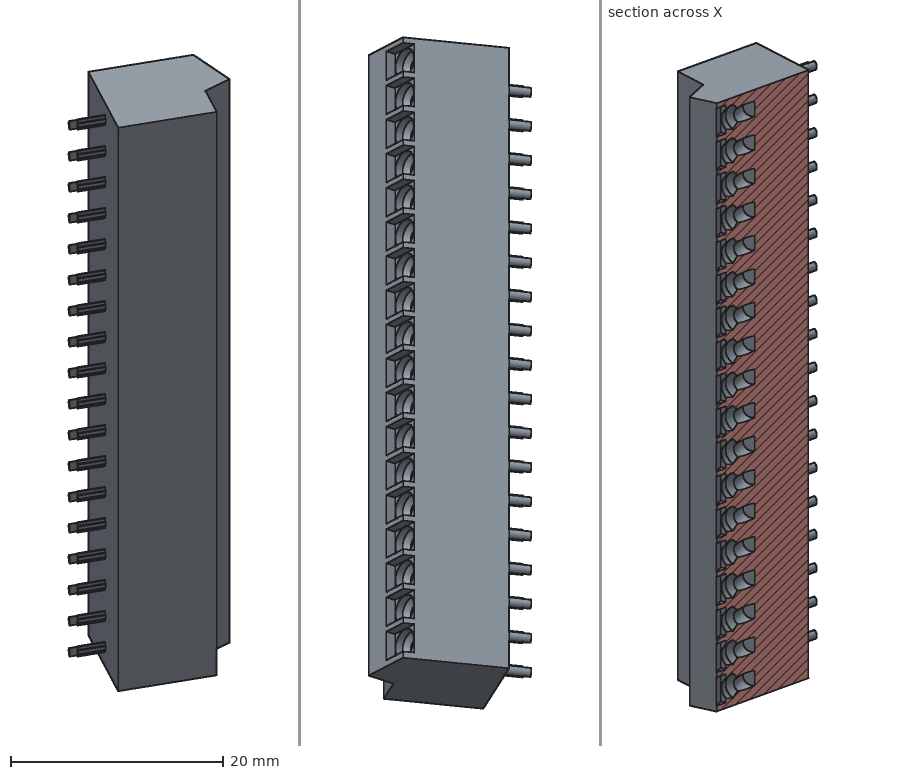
import cadquery as cq
import math

pole_count = 18
pitch = 3.5

housing_height = 63.6
housing_width = 10.0
side_height = 10.3
peak_x, peak_y = 4.95, 12.4
notch_x, notch_y = 6.25, 9.65

overall_y = 15.9
pin_length = overall_y - peak_y
first_pin_below_top = 1.85
pin_flat_x = 5.65
pin_half_height = 0.48
pin_bulge = 0.4
plate_height = 1.15
plate_thickness = 0.05
rib_height = 0.4
rib_thickness = 0.16
backing_length = 2.75

entry_below_pin = 0.2
pocket_height = 2.9
pocket_depth = 1.0
pocket_peak_margin = 2.8
hole_diameter = 2.85
hole_depth = 0.8
hole_edge_margin = 0.05
funnel_diameter = 1.65
funnel_depth = 0.5
bore_depth = 1.9

slope_length = math.hypot(peak_x, peak_y - side_height)
slope_x = peak_x / slope_length
slope_y = (peak_y - side_height) / slope_length
pocket_length = slope_length - pocket_peak_margin
pocket_run_out = pocket_depth
hole_from_peak = pocket_peak_margin + hole_edge_margin + hole_diameter / 2


def make_housing():
    outline = [
        (0, 0),
        (housing_width, 0),
        (housing_width, notch_y),
        (notch_x, notch_y),
        (peak_x, peak_y),
        (0, side_height),
    ]
    return cq.Workplane("XY").polyline(outline).close().extrude(housing_height)


def make_pin(z):
    """Rounded pin growing out of the Y = 0 face, backed by a shorter plate and rib."""
    base_plane = cq.Plane(origin=(pin_flat_x, 0, z), xDir=(1, 0, 0), normal=(0, -1, 0))

    def backing(thickness, height):
        return (
            cq.Workplane(base_plane)
            .moveTo(0, -height / 2)
            .rect(thickness, height, centered=False)
            .extrude(backing_length)
        )

    rounded_bar = (
        cq.Workplane(base_plane)
        .moveTo(0, pin_half_height)
        .threePointArc((-pin_bulge, 0), (0, -pin_half_height))
        .close()
        .extrude(pin_length)
    )
    plate = backing(plate_thickness, plate_height)
    rib = backing(plate_thickness + rib_thickness, rib_height)
    return rounded_bar.union(plate).union(rib)


def make_entry_cut(z):
    """Pocket open to the -X side, with a hole that funnels into a narrower bore.

    Distances run down the slope from the peak, and depths run square to it into the housing.
    """
    slope_plane = cq.Plane(
        origin=(peak_x, peak_y, z),
        xDir=(-slope_x, -slope_y, 0),
        normal=(slope_y, -slope_x, 0),
    )
    pocket = (
        cq.Workplane(slope_plane)
        .moveTo(pocket_peak_margin, -pocket_height / 2)
        .rect(pocket_length + pocket_run_out, pocket_height, centered=False)
        .extrude(pocket_depth)
    )
    hole_end = pocket_depth + hole_depth
    funnel_end = hole_end + funnel_depth
    bore_end = funnel_end + bore_depth
    hole_profile = [
        (hole_from_peak, 0),
        (hole_from_peak + hole_diameter / 2, 0),
        (hole_from_peak + hole_diameter / 2, hole_end),
        (hole_from_peak + funnel_diameter / 2, funnel_end),
        (hole_from_peak + funnel_diameter / 2, bore_end),
        (hole_from_peak, bore_end),
    ]
    section_plane = cq.Plane(
        origin=(peak_x, peak_y, z),
        xDir=(-slope_x, -slope_y, 0),
        normal=(0, 0, 1),
    )
    hole = (
        cq.Workplane(section_plane)
        .polyline(hole_profile)
        .close()
        .revolve(360, (hole_from_peak, 0), (hole_from_peak, 1))
    )
    return pocket.union(hole)


result = make_housing()
for pole in range(pole_count):
    pin_z = housing_height - first_pin_below_top - pole * pitch
    result = result.union(make_pin(pin_z)).cut(make_entry_cut(pin_z - entry_below_pin))